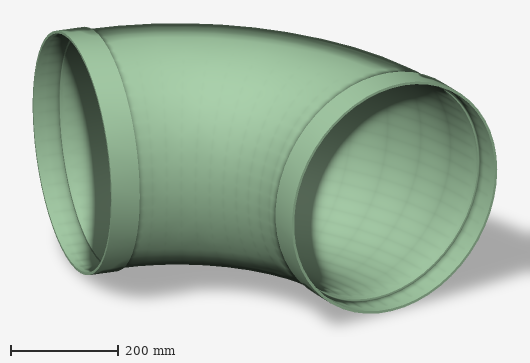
import cadquery as cq
import math

bend_angle = 75.0
overall_length = 726.0
wall = 5.0
pipe_diameter = 450.0
collar_length = 55.0

bore_diameter = pipe_diameter - 2 * wall
socket_diameter = pipe_diameter
collar_diameter = socket_diameter + 2 * wall
socket_depth = collar_length - wall

bend_sine = math.sin(math.radians(bend_angle))
bend_cosine = math.cos(math.radians(bend_angle))
collars_along_y = collar_length * (1 + bend_cosine)
rim_along_y = collar_diameter / 2 * bend_sine
bend_radius = (overall_length - collars_along_y - rim_along_y) / bend_sine

bend_center = (bend_radius, collar_length, 0)
bend_axis_end = (bend_radius, collar_length, 1)


def bend(diameter):
    """Solid bend, starting along +Y and turning towards +X."""
    start = cq.Workplane("XZ", origin=(0, collar_length, 0)).circle(diameter / 2)
    return start.revolve(bend_angle, (bend_radius, 0, 0), (bend_radius, -1, 0))


def at_both_ends(body):
    """The body at the first end plus its copy at the other end of the bend.

    A half turn about the middle of the first collar's back face, along Z, makes
    the copy face outwards before it is swung round the bend.
    """
    flipped = body.rotate((0, collar_length, 0), (0, collar_length, 1), 180)
    far = flipped.rotate(bend_center, bend_axis_end, -bend_angle)
    return body.union(far)


def cylinder(diameter, length):
    """Cylinder along +Y from the first open end."""
    return cq.Workplane("XZ").circle(diameter / 2).extrude(-length)


collars = at_both_ends(cylinder(collar_diameter, collar_length))
bores = at_both_ends(cylinder(bore_diameter, collar_length))
sockets = at_both_ends(cylinder(socket_diameter, socket_depth))

result = bend(pipe_diameter).union(collars)
result = result.cut(bend(bore_diameter)).cut(bores).cut(sockets)